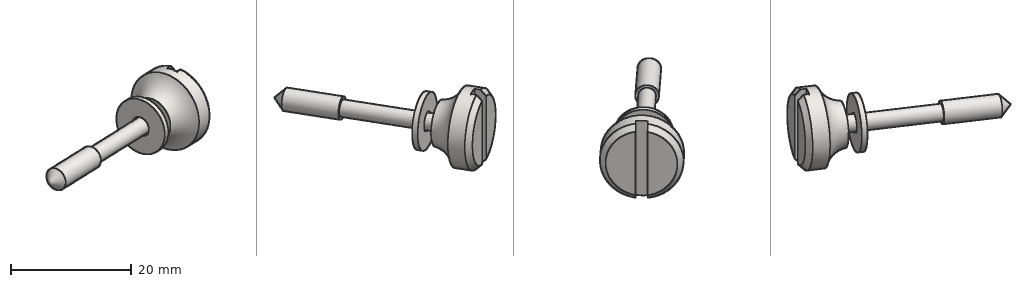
import cadquery as cq
import math

total_length = 37.0
rear_y = total_length / 2
tip_y = rear_y - total_length

head_radius = 7.0
head_length = 8.0
head_chamfer = 1.0
flare_start = 4.0
neck_radius = 4.0
flare_arc_radius = 5.0
slot_width = 2.0
slot_depth = 2.0

shank_diameter = 3.0
shank_radius = shank_diameter / 2
thread_radius = 2.0
thread_length = 10.0
tip_length = 2.0

washer_radius = 5.0
washer_thickness = 1.0
washer_hole_radius = 1.7
washer_gap = 2.0

head_front_y = rear_y - head_length
tip_base_y = tip_y + tip_length
thread_start_y = tip_base_y + thread_length


def flare_midpoint(start, end, radius):
    """Middle of the arc of the given radius that sags toward the Y axis."""
    chord_x = end[0] - start[0]
    chord_y = end[1] - start[1]
    chord = math.hypot(chord_x, chord_y)
    sag = radius - math.sqrt(radius**2 - (chord / 2) ** 2)
    mid_x = (start[0] + end[0]) / 2
    mid_y = (start[1] + end[1]) / 2
    return (mid_x + sag * chord_y / chord, mid_y - sag * chord_x / chord)


def make_screw():
    """Revolve the head, shank and tip as one solid, then cut the driver slot."""
    flare_rear = (head_radius, rear_y - flare_start)
    flare_front = (neck_radius, head_front_y)
    body = (
        cq.Workplane("XY")
        .moveTo(0, rear_y)
        .lineTo(head_radius - head_chamfer, rear_y)
        .lineTo(head_radius, rear_y - head_chamfer)
        .lineTo(*flare_rear)
        .threePointArc(flare_midpoint(flare_rear, flare_front, flare_arc_radius), flare_front)
        .lineTo(shank_radius, head_front_y)
        .lineTo(shank_radius, thread_start_y)
        .lineTo(thread_radius, thread_start_y)
        .lineTo(thread_radius, tip_base_y)
        .lineTo(0, tip_y)
        .close()
        .revolve(360, (0, 0, 0), (0, 1, 0))
    )
    slot = cq.Workplane("XY").box(slot_width, 2 * slot_depth, 2 * head_radius)
    return body.cut(slot.translate((0, rear_y, 0)))


def make_washer():
    """Flat ring around the shank, just in front of the head."""
    washer_rear_y = head_front_y - washer_gap
    return (
        cq.Workplane("XZ", origin=(0, washer_rear_y, 0))
        .circle(washer_radius)
        .circle(washer_hole_radius)
        .extrude(washer_thickness)
    )


screw = make_screw()
washer = make_washer()
result = cq.Compound.makeCompound([screw.val(), washer.val()])